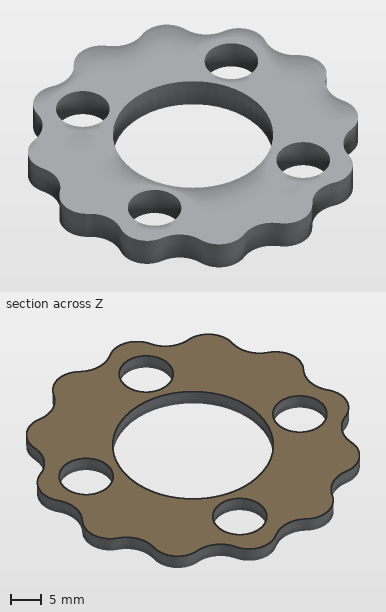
import cadquery as cq
import math

outer_radius = 27.3
thickness = 5.0

lobe_count = 12
lobe_arc_radius = 4.6
valley_depth = 2.75

bore_diameter = 26.1
hole_diameter = 8.75
hole_circle_radius = 19.0
hole_count = 4

lobe_pitch = 2 * math.pi / lobe_count
valley_radius = outer_radius - valley_depth
lobe_centre_radius = outer_radius - lobe_arc_radius

lobe_centre_reach = lobe_centre_radius * math.cos(lobe_pitch / 2)
valley_arc_radius = (
    lobe_arc_radius**2
    - lobe_centre_radius**2
    - valley_radius**2
    + 2 * valley_radius * lobe_centre_reach
) / (2 * (valley_radius - lobe_centre_reach - lobe_arc_radius))
valley_centre_radius = valley_radius + valley_arc_radius


def polar(radius, angle):
    """Point at the given radius and angle (radians) about the plate axis."""
    return (radius * math.cos(angle), radius * math.sin(angle))


def touch_point(lobe_angle, valley_angle):
    """Point where a lobe arc meets the neighbouring valley arc."""
    lobe_x, lobe_y = polar(lobe_centre_radius, lobe_angle)
    valley_x, valley_y = polar(valley_centre_radius, valley_angle)
    share = lobe_arc_radius / (lobe_arc_radius + valley_arc_radius)
    return (
        lobe_x + share * (valley_x - lobe_x),
        lobe_y + share * (valley_y - lobe_y),
    )


def make_scalloped_plate():
    """Plate with one lobe on each of the X and Y axis directions."""
    half_pitch = lobe_pitch / 2
    rim = cq.Workplane("XY").moveTo(*touch_point(0, -half_pitch))
    for index in range(lobe_count):
        lobe_angle = index * lobe_pitch
        valley_angle = lobe_angle + half_pitch
        next_lobe_angle = lobe_angle + lobe_pitch
        lobe_end = touch_point(lobe_angle, valley_angle)
        valley_end = touch_point(next_lobe_angle, valley_angle)
        rim = rim.threePointArc(polar(outer_radius, lobe_angle), lobe_end)
        rim = rim.threePointArc(polar(valley_radius, valley_angle), valley_end)
    return rim.close().extrude(thickness)


def make_bore():
    """Cutter for the central through bore."""
    return cq.Workplane("XY").circle(bore_diameter / 2).extrude(thickness)


def make_holes():
    """Cutters for the through holes, spaced evenly from the X axis."""
    return (
        cq.Workplane("XY")
        .polarArray(hole_circle_radius, 0, 360, hole_count)
        .circle(hole_diameter / 2)
        .extrude(thickness)
    )


result = make_scalloped_plate().cut(make_bore()).cut(make_holes())